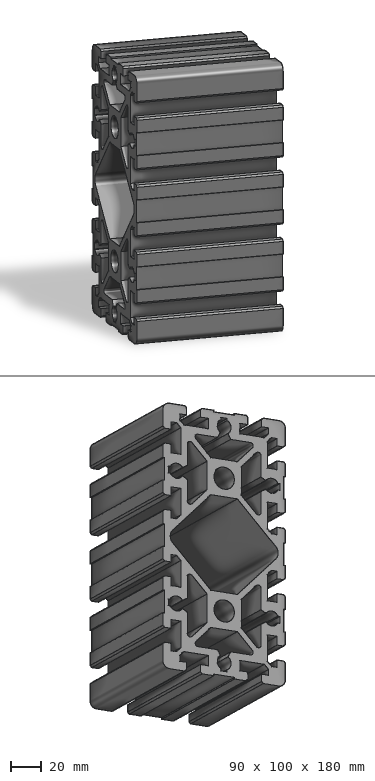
import cadquery as cq
import math

CELL = 90.0
LENGTH = 100.0
CORNER_RADIUS = 4.9
HALF_CELL = CELL / 2

SLOT_OFFSET = CELL / 4
SLOT_OPENING = 10.0
SLOT_REACH_INWARD = 11.0
SLOT_REACH_OUTWARD = 10.0
LIP_THICKNESS = 6.1
SLOT_DEPTH = 13.1
SLOT_CHAMFER = 3.0
LIP_CHAMFER = 1.3

RELIEF_WIDTH = 15.3
RELIEF_DEPTH = 1.0

WALL_DEPTH = 18.0
CORE_WIDTH = 25.2
CORE_BORE = 15.0
RIB_THICKNESS = 4.1
RIB_SHIFT = RIB_THICKNESS / 2 * math.sqrt(2)
CAVITY_TIP_RADIUS = 2.0
CENTRE_TIP_RADIUS = 6.0

CHANNEL_DIAMETER = 10.0
CHANNEL_DEPTH = 10.0
NOTCH_WIDTH = 4.5
NOTCH_DEPTH = 4.1
NECK_WIDTH = 5.0
NECK_DEPTH = 13.9
MOUTH_WIDTH = 9.5

CELL_CENTRES = (-HALF_CELL, HALF_CELL)


def prism(points):
    """Closed polygon in XZ, extruded over the full length."""
    return cq.Workplane("XZ").polyline(points).close().extrude(LENGTH / 2, both=True)


def mirrored(half_outline):
    """Complete an outline that is symmetric about X = 0."""
    return half_outline + [(-x, z) for x, z in reversed(half_outline)]


def bar(width, bottom, top):
    """Rectangular bar centred on X = 0 between two heights."""
    return prism(mirrored([(width / 2, bottom), (width / 2, top)]))


def cylinder(diameter, z):
    """Full-length round cutter on the line X = 0 at height z."""
    return cq.Workplane("XZ").center(0, z).circle(diameter / 2).extrude(LENGTH / 2, both=True)


def slot_cutter(side):
    """T-slot right (side = 1) or left (side = -1) of the face centre."""
    lip = HALF_CELL - LIP_THICKNESS
    floor = HALF_CELL - SLOT_DEPTH
    half_opening = SLOT_OPENING / 2
    outline = [
        (-half_opening, HALF_CELL),
        (-half_opening, lip),
        (-SLOT_REACH_INWARD, lip),
        (-SLOT_REACH_INWARD, floor),
        (SLOT_REACH_OUTWARD - SLOT_CHAMFER, floor),
        (SLOT_REACH_OUTWARD, floor + SLOT_CHAMFER),
        (SLOT_REACH_OUTWARD, lip),
        (half_opening, lip),
        (half_opening, HALF_CELL),
    ]
    return prism([(side * (SLOT_OFFSET + x), z) for x, z in outline])


def relief_cutter():
    """Shallow step along the face centre."""
    return bar(RELIEF_WIDTH, HALF_CELL - RELIEF_DEPTH, HALF_CELL)


def cavity_cutter():
    """Cavity between the outer wall, the core and two diagonal ribs."""
    wall = HALF_CELL - WALL_DEPTH
    core = CORE_WIDTH / 2
    cavity = prism(mirrored([(core - RIB_SHIFT, core), (wall - RIB_SHIFT, wall)]))
    return cavity.edges("|Y").edges(">X or <X").fillet(CAVITY_TIP_RADIUS)


def channel_cutter():
    """Round screw channel with an outer notch and a flared neck into the cavity."""
    axis = HALF_CELL - CHANNEL_DEPTH
    channel = cylinder(CHANNEL_DIAMETER, axis)
    notch = bar(NOTCH_WIDTH, axis, HALF_CELL - NOTCH_DEPTH)
    neck = prism(
        mirrored(
            [
                (NECK_WIDTH / 2, axis),
                (NECK_WIDTH / 2, HALF_CELL - NECK_DEPTH),
                (MOUTH_WIDTH / 2, HALF_CELL - WALL_DEPTH),
            ]
        )
    )
    return channel.union(notch).union(neck)


def on_face(cutter, cell_z, angle):
    """Turn a cutter about Y to another face and move it to its cell."""
    return cutter.rotate((0, 0, 0), (0, 1, 0), angle).translate((0, 0, cell_z))


def centre_cutter():
    """Large opening between the two cores, pointed toward both long sides."""
    core = HALF_CELL - CORE_WIDTH / 2
    tip = HALF_CELL - RIB_SHIFT
    flat = tip - core
    opening = prism([(-flat, core), (flat, core), (tip, 0), (flat, -core), (-flat, -core), (-tip, 0)])
    return opening.edges("|Y").edges(">X or <X").fillet(CENTRE_TIP_RADIUS)


def lip_corners(cell_z, angle):
    """XZ positions of the four slot-opening corners on one face."""
    turn = math.radians(angle)
    corners = []
    for side in (-1, 1):
        for rim in (-1, 1):
            along = side * SLOT_OFFSET + rim * SLOT_OPENING / 2
            x = along * math.cos(turn) + HALF_CELL * math.sin(turn)
            z = HALF_CELL * math.cos(turn) - along * math.sin(turn)
            corners.append((x, z + cell_z))
    return corners


body = cq.Workplane("XY").box(CELL, LENGTH, 2 * CELL).edges("|Y").fillet(CORNER_RADIUS)

faces = []
for cell_z in CELL_CENTRES:
    end_angle = 0 if cell_z > 0 else 180
    for angle in (end_angle, 90, -90):
        faces.append((cell_z, angle))

for cell_z, angle in faces:
    for side in (-1, 1):
        body = body.cut(on_face(slot_cutter(side), cell_z, angle))

lips = [corner for cell_z, angle in faces for corner in lip_corners(cell_z, angle)]


def is_lip(edge):
    """True for a lengthwise edge on the rim of a slot opening."""
    middle = edge.Center()
    return any(math.dist((middle.x, middle.z), lip) < LIP_CHAMFER for lip in lips)


body = body.edges("|Y").filter(is_lip).chamfer(LIP_CHAMFER)

for cell_z, angle in faces:
    for cutter in (relief_cutter(), cavity_cutter(), channel_cutter()):
        body = body.cut(on_face(cutter, cell_z, angle))

for side in (-1, 1):
    body = body.cut(on_face(relief_cutter(), 0, side * 90))

body = body.cut(centre_cutter())
for cell_z in CELL_CENTRES:
    body = body.cut(cylinder(CORE_BORE, cell_z))

result = body